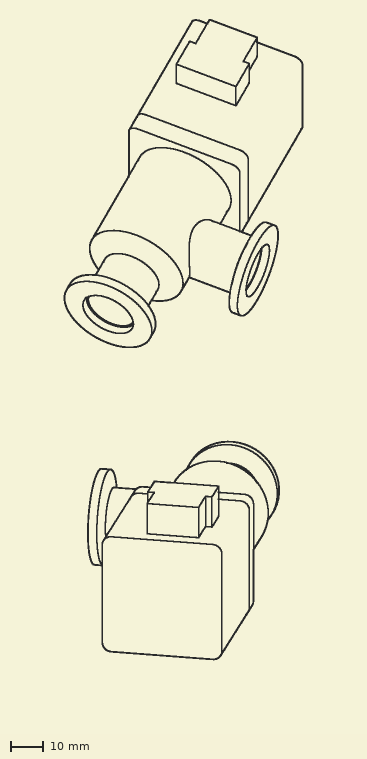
import cadquery as cq

OVERALL_LENGTH = 102.0
OVERALL_WIDTH = 54.0

BLOCK_SIDE = 38.0
CORNER_RADIUS = 3.0
HOUSING_LENGTH = 40.0
PLATE_THICKNESS = 6.0

BODY_DIAMETER = 32.0
SHOULDER_START_Y = 17.0
SHOULDER_LENGTH = 3.7

FLANGE_DIAMETER = 30.0
FLANGE_RIM = 2.9
FLANGE_TAPER = 1.5
NECK_DIAMETER = 19.0
MOUTH_DIAMETER = 17.2
MOUTH_DEPTH = 2.7
BORE_DIAMETER = 16.0
SIDE_PORT_Y = 35.0

CONNECTOR_HEIGHT = 10.0
CONNECTOR_X = -2.3
CONNECTOR_REAR_GAP = 5.0
CONNECTOR_LENGTH = 20.0
WIDE_WIDTH = 20.4
WIDE_LENGTH = 9.8
NARROW_WIDTH = 16.3

half_block = BLOCK_SIDE / 2
housing_front_y = OVERALL_LENGTH - HOUSING_LENGTH
plate_front_y = housing_front_y - PLATE_THICKNESS
side_port_reach = OVERALL_WIDTH - half_block
shoulder_end_y = SHOULDER_START_Y + SHOULDER_LENGTH

inlet_plane = cq.Plane(origin=(0, 0, 0), xDir=(1, 0, 0), normal=(0, 1, 0))
side_plane = cq.Plane(origin=(side_port_reach, SIDE_PORT_Y, 0), xDir=(0, 1, 0), normal=(-1, 0, 0))


def cylinder(plane, diameter, length):
    """Solid cylinder starting on the plane and running along its normal."""
    return cq.Workplane(plane).circle(diameter / 2).extrude(length)


def cone(plane, start, start_diameter, end_diameter, length):
    """Solid cone frustum starting at a distance along the plane's normal."""
    solid = cq.Solid.makeCone(
        start_diameter / 2,
        end_diameter / 2,
        length,
        pnt=plane.toWorldCoords((0, 0, start)),
        dir=plane.zDir,
    )
    return cq.Workplane(solid)


def flanged_port(plane, neck_end):
    """Flange rim, its tapered back and the neck behind it."""
    rim = cylinder(plane, FLANGE_DIAMETER, FLANGE_RIM)
    taper = cone(plane, FLANGE_RIM, FLANGE_DIAMETER, NECK_DIAMETER, FLANGE_TAPER)
    neck = cylinder(plane, NECK_DIAMETER, neck_end)
    return neck.union(rim).union(taper)


def port_bore(plane, bore_end):
    """Bore of a port with the wider recess at its mouth."""
    mouth = cylinder(plane, MOUTH_DIAMETER, MOUTH_DEPTH)
    return cylinder(plane, BORE_DIAMETER, bore_end).union(mouth)


def square_block(start_y, length):
    """Square block around the valve axis with rounded long edges."""
    block = cq.Workplane("XZ", origin=(0, start_y, 0)).rect(BLOCK_SIDE, BLOCK_SIDE).extrude(-length)
    return block.edges("|Y").fillet(CORNER_RADIUS)


def make_valve_body():
    """Square plate, round body and the two ports, with bores that meet inside."""
    barrel_plane = cq.Plane(origin=(0, shoulder_end_y, 0), xDir=(1, 0, 0), normal=(0, 1, 0))
    barrel = cylinder(barrel_plane, BODY_DIAMETER, plate_front_y - shoulder_end_y)
    shoulder = cone(inlet_plane, SHOULDER_START_Y, NECK_DIAMETER, BODY_DIAMETER, SHOULDER_LENGTH)

    body = square_block(plate_front_y, PLATE_THICKNESS).union(barrel).union(shoulder)
    body = body.union(flanged_port(inlet_plane, shoulder_end_y))
    body = body.union(flanged_port(side_plane, side_port_reach))

    body = body.cut(port_bore(inlet_plane, plate_front_y))
    return body.cut(port_bore(side_plane, side_port_reach))


def make_housing():
    """Plain square actuator housing behind the plate."""
    return square_block(housing_front_y, HOUSING_LENGTH)


def make_connector():
    """T-shaped connector: a wide front part and a narrower rear part."""
    rear_y = OVERALL_LENGTH - CONNECTOR_REAR_GAP
    front_y = rear_y - CONNECTOR_LENGTH
    base = cq.Workplane("XY", origin=(CONNECTOR_X, front_y, half_block))
    wide = base.box(WIDE_WIDTH, WIDE_LENGTH, CONNECTOR_HEIGHT, centered=(True, False, False))
    narrow = base.box(NARROW_WIDTH, CONNECTOR_LENGTH, CONNECTOR_HEIGHT, centered=(True, False, False))
    return wide.union(narrow)


valve_body = make_valve_body()
housing = make_housing()
connector = make_connector()

result = cq.Compound.makeCompound([valve_body.val(), housing.val(), connector.val()])